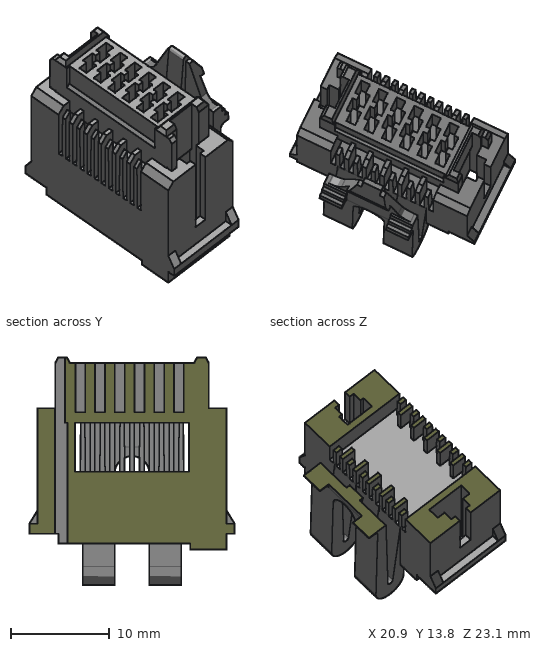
import cadquery as cq
import math


BODY_HALF_X = 9.6
BODY_HALF_Y = 4.75
BODY_BOTTOM = 0.6
BODY_TOP = 14.36
BODY_CHAMFER = 0.75

FLANGE_HALF_X = 10.425
FLANGE_BOTTOM = 1.6
FLANGE_TOP = 2.63
WEDGE_TOP = 3.97
WEDGE_WIDTH = 1.03
RELIEF_X = -7.48

FOOT_LEFT = 5.9
FOOT_BACK = 4.28

WINDOW_HALF_X = 5.77
WINDOW_BOTTOM = 7.9
PITCH = 2.0
CONTACTS = 6
TALL_RIB_WIDTH = 0.48
SHORT_RIB_TOP = 14.28
SHORT_RIB_TOP_WIDTH = 0.4
SHORT_RIB_BOTTOM_WIDTH = 0.53
SHORT_RIB_TOP_INNER = 4.07
SHORT_RIB_BOTTOM_INNER = 3.9

CHANNEL_OUTER = 8.85
CHANNEL_INNER = 6.55
CHANNEL_HALF_Y = 1.24
GUIDE_SLOT_HALF_Y = 0.72
GUIDE_SLOT_BOTTOM = 5.14

SOCKET_HALF_X = 7.8
SOCKET_HALF_Y = 3.12
SOCKET_BOTTOM = 12.86
SOCKET_TOP = 18.95
CAP_TOP = 19.5
CAP_INNER = 6.29
CAP_CHAMFER = 0.31
RECESS_INNER = 6.82
LEFT_RECESS_HALF_Y = 2.15
RIGHT_RECESS_HALF_Y = 1.63
EAR_HALF_X = 8.53
EAR_THICKNESS = 0.77
EAR_BOTTOM = 14.43
EAR_CHAMFER_X = 0.33
EAR_CHAMFER_Z = 0.51
FACE_WINDOW_HALF_X = 6.14
FACE_WINDOW_BOTTOM = 16.1
FACE_WINDOW_RISE = 0.3
FRONT_WINDOW_DEPTH = 0.42
FRONT_WINDOW_FOOT_DEPTH = 0.37
BACK_WINDOW_DEPTH = 0.3

CELL_DEPTH = 5.0
CELL_HALF_X = 0.73
CELL_NECK_X = 0.25
CELL_END_Y = 2.22
CELL_SHOULDER_Y = 1.2
NOTCH_OUTER_Y = 0.79
NOTCH_INNER_Y = 0.19

LATCH_HALF_X = 5.0
LEG_GAP_HALF_X = 1.75
ARCH_CENTRE_Z = 7.72
BEND_OUTER_Y = 8.06
BEND_RADIUS = (BEND_OUTER_Y - FOOT_BACK) / 2
BEND_CENTRE_Y = (BEND_OUTER_Y + FOOT_BACK) / 2
LATCH_BOTTOM = -3.6
BEND_CENTRE_Z = LATCH_BOTTOM + BEND_RADIUS
GAP_BOTTOM = -1.56
GAP_RADIUS = 0.33
GAP_CENTRE_Y = 6.1
GAP_CENTRE_Z = GAP_BOTTOM + GAP_RADIUS
GAP_TOP = WINDOW_BOTTOM
ARM_TOP_FRONT_Y = 6.85
ARM_BACK_Y = 7.82
ARM_BACK_Z = 9.85
HOOK_ROOT_Y = 7.6
HOOK_BOTTOM = 15.75
HOOK_EDGE_TOP = 16.43
HOOK_TIP_Y = 8.14
ARM_TOP = 17.57
ARM_TOP_BACK_Y = 7.45
ARM_TOP_HALF_X = 1.52
TONGUE_ROOT_HALF_X = 3.2
TONGUE_ROOT_Z = 13.97
SHOULDER_HALF_X = 4.6
SHOULDER_Z = 13.04
SHOULDER_MID_X = 3.76
SHOULDER_MID_Z = 13.32

GRIP_INNER_X = 2.5
GRIP_TIP_Y = 9.0
GRIP_ROOT_Y = 7.3
GRIP_BOTTOM = 10.33
GRIP_SWEEP_MID = (8.0, 10.17)
GRIP_SWEEP_END_Y = 8.4
LOWER_STEP_Z = 11.3
LOWER_STEP_OUTER_Y = 8.9
LOWER_STEP_INNER_Y = 8.5
UPPER_STEP_Z = 12.2
UPPER_STEP_OUTER_Y = 8.43
UPPER_STEP_INNER_Y = 8.06
GRIP_TOP_Y = 7.93

PAD_HALF_X = 1.03
PAD_TOP = 18.3
PAD_BOTTOM = 9.1
PAD_FOOT_Y = 6.7
PAD_TOP_BACK_Y = 7.05
PAD_PEAK_Y = 6.72
PAD_ROUND_END = (6.49, 18.0)
PAD_BOW_START = (6.06, 12.95)
PAD_BOW_END = (6.22, 10.45)


def box(x0, x1, y0, y1, z0, z1):
    return cq.Workplane("XY").box(x1 - x0, y1 - y0, z1 - z0, centered=False).translate((x0, y0, z0))


def extrude_x(profile, x0, x1):
    """Extrude a profile drawn on the YZ plane from x0 to x1."""
    return profile.extrude(x1 - x0).translate((x0, 0, 0))


def mirrored_x(shape):
    return shape.union(shape.mirror("YZ"))


def body_shell():
    section = cq.Workplane("YZ").polyline([
        (-BODY_HALF_Y, BODY_BOTTOM),
        (BODY_HALF_Y, BODY_BOTTOM),
        (BODY_HALF_Y, BODY_TOP - BODY_CHAMFER),
        (BODY_HALF_Y - BODY_CHAMFER, BODY_TOP),
        (BODY_CHAMFER - BODY_HALF_Y, BODY_TOP),
        (-BODY_HALF_Y, BODY_TOP - BODY_CHAMFER),
    ]).close()
    return extrude_x(section, -BODY_HALF_X, BODY_HALF_X)


def flange():
    shape = box(-FLANGE_HALF_X, FLANGE_HALF_X, -BODY_HALF_Y, BODY_HALF_Y, FLANGE_BOTTOM, FLANGE_TOP)
    wedge_outline = [
        (-FLANGE_HALF_X, FLANGE_TOP),
        (FLANGE_HALF_X, FLANGE_TOP),
        (BODY_HALF_X, WEDGE_TOP),
        (-BODY_HALF_X, WEDGE_TOP),
    ]
    for back_y in (BODY_HALF_Y, WEDGE_WIDTH - BODY_HALF_Y):
        wedge = cq.Workplane("XZ").polyline(wedge_outline).close().extrude(WEDGE_WIDTH)
        shape = shape.union(wedge.translate((0, back_y, 0)))
    return shape


def tall_rib(x, side):
    """Plain rib reaching from the outer wall face in to the socket block."""
    half = TALL_RIB_WIDTH / 2
    y0, y1 = sorted((side * SOCKET_HALF_Y, side * BODY_HALF_Y))
    return body_shell().intersect(box(x - half, x + half, y0, y1, WINDOW_BOTTOM, BODY_TOP))


def short_rib(x, side):
    """Rib that tapers towards the top on its flanks and inner face."""
    def section(z, width, inner):
        half = width / 2
        corners = [
            (x - half, side * inner),
            (x + half, side * inner),
            (x + half, side * BODY_HALF_Y),
            (x - half, side * BODY_HALF_Y),
        ]
        points = [cq.Vector(px, py, z) for px, py in corners]
        return cq.Wire.makePolygon(points, close=True)

    bottom = section(WINDOW_BOTTOM, SHORT_RIB_BOTTOM_WIDTH, SHORT_RIB_BOTTOM_INNER)
    top = section(SHORT_RIB_TOP, SHORT_RIB_TOP_WIDTH, SHORT_RIB_TOP_INNER)
    rib = cq.Workplane(cq.Solid.makeLoft([bottom, top], True))
    return rib.intersect(body_shell())


def row(count):
    """X positions of a centred row at the contact pitch."""
    return [(i - (count - 1) / 2) * PITCH for i in range(count)]


def end_channel(side, recess_half_y):
    """Vertical opening through one end of the body, beneath and outside the socket block."""
    outer = box(CHANNEL_INNER, CHANNEL_OUTER, -CHANNEL_HALF_Y, CHANNEL_HALF_Y, 0, BODY_TOP)
    inner = box(CHANNEL_INNER, SOCKET_HALF_X, -recess_half_y, recess_half_y, 0, BODY_TOP)
    guide_y = GUIDE_SLOT_HALF_Y
    guide = box(CHANNEL_OUTER, BODY_HALF_X, -guide_y, guide_y, GUIDE_SLOT_BOTTOM, BODY_TOP)
    opening = outer.union(inner).union(guide)
    return opening if side > 0 else opening.mirror("YZ")


def housing():
    shape = body_shell().union(flange())
    shape = shape.cut(box(-FLANGE_HALF_X, RELIEF_X, -BODY_HALF_Y, BODY_HALF_Y, BODY_BOTTOM, FLANGE_BOTTOM))
    shape = shape.union(box(FOOT_LEFT, BODY_HALF_X, -BODY_HALF_Y, FOOT_BACK, 0, FLANGE_BOTTOM))
    shape = shape.cut(end_channel(-1, LEFT_RECESS_HALF_Y))
    shape = shape.cut(end_channel(1, RIGHT_RECESS_HALF_Y))
    shape = shape.cut(box(-WINDOW_HALF_X, WINDOW_HALF_X, -BODY_HALF_Y, BODY_HALF_Y, WINDOW_BOTTOM, BODY_TOP))
    for side in (-1, 1):
        for x in row(CONTACTS - 1):
            shape = shape.union(tall_rib(x, side))
        for x in row(CONTACTS):
            shape = shape.union(short_rib(x, side))
    return shape


def end_cap():
    """Raised end of the socket block, bevelled on all four sides."""
    cap = box(CAP_INNER, SOCKET_HALF_X, -SOCKET_HALF_Y, SOCKET_HALF_Y, SOCKET_BOTTOM, CAP_TOP)
    return cap.faces(">Z").chamfer(CAP_TOP - SOCKET_TOP, CAP_CHAMFER)


def ears():
    outline = cq.Workplane("XZ").polyline([
        (-EAR_HALF_X, EAR_BOTTOM),
        (EAR_HALF_X, EAR_BOTTOM),
        (EAR_HALF_X, SOCKET_TOP - EAR_CHAMFER_Z),
        (EAR_HALF_X - EAR_CHAMFER_X, SOCKET_TOP),
        (EAR_CHAMFER_X - EAR_HALF_X, SOCKET_TOP),
        (-EAR_HALF_X, SOCKET_TOP - EAR_CHAMFER_Z),
    ]).close()
    return outline.extrude(EAR_THICKNESS).translate((0, EAR_THICKNESS - SOCKET_HALF_Y, 0))


def face_window(side, top_depth, foot_depth):
    """Shallow recess in a long face, open at the top and sloped at the bottom."""
    face_y = side * SOCKET_HALF_Y
    top_y = side * (SOCKET_HALF_Y - top_depth)
    foot_y = side * (SOCKET_HALF_Y - foot_depth)
    section = cq.Workplane("YZ").polyline([
        (face_y, FACE_WINDOW_BOTTOM),
        (foot_y, FACE_WINDOW_BOTTOM + FACE_WINDOW_RISE),
        (top_y, SOCKET_TOP),
        (face_y, SOCKET_TOP),
    ]).close()
    return extrude_x(section, -FACE_WINDOW_HALF_X, FACE_WINDOW_HALF_X)


def contact_cells():
    half_outline = [
        (-CELL_HALF_X, CELL_END_Y),
        (CELL_NECK_X, CELL_END_Y),
        (CELL_NECK_X, CELL_SHOULDER_Y),
        (CELL_HALF_X, CELL_SHOULDER_Y),
        (CELL_HALF_X, -NOTCH_INNER_Y),
        (CELL_NECK_X, -NOTCH_INNER_Y),
        (CELL_NECK_X, -NOTCH_OUTER_Y),
        (CELL_HALF_X, -NOTCH_OUTER_Y),
    ]
    outline = half_outline + [(-x, -y) for x, y in half_outline]
    centres = [(x, 0) for x in row(CONTACTS)]
    cells = cq.Workplane("XY").pushPoints(centres)
    cells = cells.eachpoint(
        lambda place: cq.Workplane("XY").polyline(outline).close().extrude(CELL_DEPTH).val().moved(place)
    )
    return cells.translate((0, 0, SOCKET_TOP - CELL_DEPTH))


def socket_block():
    shape = box(-SOCKET_HALF_X, SOCKET_HALF_X, -SOCKET_HALF_Y, SOCKET_HALF_Y, SOCKET_BOTTOM, SOCKET_TOP)
    shape = shape.union(mirrored_x(end_cap()))
    shape = shape.union(ears())
    left, right = LEFT_RECESS_HALF_Y, RIGHT_RECESS_HALF_Y
    shape = shape.cut(box(-SOCKET_HALF_X, -RECESS_INNER, -left, left, SOCKET_BOTTOM, CAP_TOP))
    shape = shape.cut(box(RECESS_INNER, SOCKET_HALF_X, -right, right, SOCKET_BOTTOM, CAP_TOP))
    shape = shape.cut(face_window(-1, FRONT_WINDOW_DEPTH, FRONT_WINDOW_FOOT_DEPTH))
    shape = shape.cut(face_window(1, BACK_WINDOW_DEPTH, BACK_WINDOW_DEPTH))
    return shape.cut(contact_cells())


def latch_arm():
    """U-bent strip rooted in the body: two legs joining into a tongue with a hook near its top."""
    leg_slope = (GAP_CENTRE_Y - GAP_RADIUS - BODY_HALF_Y) / (GAP_TOP - GAP_CENTRE_Z)
    leg_lean = math.atan(leg_slope)
    leg_foot_y = GAP_CENTRE_Y - GAP_RADIUS * math.cos(leg_lean)
    leg_foot_z = GAP_CENTRE_Z - GAP_RADIUS * math.sin(leg_lean)
    section = (
        cq.Workplane("YZ")
        .moveTo(FOOT_BACK, GAP_TOP)
        .lineTo(FOOT_BACK, BEND_CENTRE_Z)
        .threePointArc((BEND_CENTRE_Y, LATCH_BOTTOM), (BEND_OUTER_Y, BEND_CENTRE_Z))
        .lineTo(ARM_BACK_Y, ARM_BACK_Z)
        .lineTo(HOOK_ROOT_Y, HOOK_BOTTOM)
        .lineTo(HOOK_TIP_Y, HOOK_BOTTOM)
        .lineTo(HOOK_TIP_Y, HOOK_EDGE_TOP)
        .lineTo(ARM_TOP_BACK_Y, ARM_TOP)
        .lineTo(ARM_TOP_FRONT_Y, ARM_TOP)
        .lineTo(GAP_CENTRE_Y + GAP_RADIUS, GAP_CENTRE_Z)
        .threePointArc((GAP_CENTRE_Y, GAP_BOTTOM), (leg_foot_y, leg_foot_z))
        .lineTo(BODY_HALF_Y, GAP_TOP)
        .close()
    )
    arm = extrude_x(section, -LATCH_HALF_X, LATCH_HALF_X)

    outline = (
        cq.Workplane("XZ")
        .moveTo(LEG_GAP_HALF_X, LATCH_BOTTOM)
        .lineTo(LATCH_HALF_X, LATCH_BOTTOM)
        .lineTo(LATCH_HALF_X, SHOULDER_Z)
        .lineTo(SHOULDER_HALF_X, SHOULDER_Z)
        .threePointArc((SHOULDER_MID_X, SHOULDER_MID_Z), (TONGUE_ROOT_HALF_X, TONGUE_ROOT_Z))
        .lineTo(ARM_TOP_HALF_X, ARM_TOP)
        .lineTo(-ARM_TOP_HALF_X, ARM_TOP)
        .lineTo(-TONGUE_ROOT_HALF_X, TONGUE_ROOT_Z)
        .threePointArc((-SHOULDER_MID_X, SHOULDER_MID_Z), (-SHOULDER_HALF_X, SHOULDER_Z))
        .lineTo(-LATCH_HALF_X, SHOULDER_Z)
        .lineTo(-LATCH_HALF_X, LATCH_BOTTOM)
        .lineTo(-LEG_GAP_HALF_X, LATCH_BOTTOM)
        .lineTo(-LEG_GAP_HALF_X, ARCH_CENTRE_Z)
        .threePointArc((0, ARCH_CENTRE_Z + LEG_GAP_HALF_X), (LEG_GAP_HALF_X, ARCH_CENTRE_Z))
        .close()
        .extrude(-GRIP_TIP_Y)
    )
    return arm.intersect(outline)


def release_grips():
    """Stepped thumb grips, one on each side of the tongue."""
    section = (
        cq.Workplane("YZ")
        .moveTo(GRIP_ROOT_Y, ARM_BACK_Z)
        .lineTo(ARM_BACK_Y, ARM_BACK_Z)
        .threePointArc(GRIP_SWEEP_MID, (GRIP_SWEEP_END_Y, GRIP_BOTTOM))
        .lineTo(GRIP_TIP_Y, GRIP_BOTTOM)
        .lineTo(LOWER_STEP_OUTER_Y, LOWER_STEP_Z)
        .lineTo(LOWER_STEP_INNER_Y, LOWER_STEP_Z)
        .lineTo(UPPER_STEP_OUTER_Y, UPPER_STEP_Z)
        .lineTo(UPPER_STEP_INNER_Y, UPPER_STEP_Z)
        .lineTo(GRIP_TOP_Y, SHOULDER_Z)
        .lineTo(GRIP_ROOT_Y, SHOULDER_Z)
        .close()
    )
    return mirrored_x(extrude_x(section, GRIP_INNER_X, LATCH_HALF_X))


def pressing_pad():
    """Narrow bowed pad along the front of the tongue, rounded over at the top."""
    hook_slope = (ARM_TOP - HOOK_EDGE_TOP) / (HOOK_TIP_Y - ARM_TOP_BACK_Y)
    top_back_z = ARM_TOP + hook_slope * (ARM_TOP_BACK_Y - PAD_TOP_BACK_Y)
    section = (
        cq.Workplane("YZ")
        .moveTo(ARM_TOP_BACK_Y, ARM_TOP)
        .lineTo(PAD_TOP_BACK_Y, top_back_z)
        .threePointArc((PAD_PEAK_Y, PAD_TOP), PAD_ROUND_END)
        .lineTo(*PAD_BOW_START)
        .tangentArcPoint(PAD_BOW_END, relative=False)
        .lineTo(PAD_FOOT_Y, PAD_BOTTOM)
        .lineTo(ARM_TOP_BACK_Y, PAD_BOTTOM)
        .close()
    )
    arch = cq.Workplane("XZ").center(0, ARCH_CENTRE_Z).circle(LEG_GAP_HALF_X).extrude(-GRIP_TIP_Y)
    return extrude_x(section, -PAD_HALF_X, PAD_HALF_X).cut(arch)


result = housing().union(socket_block()).union(latch_arm()).union(release_grips()).union(pressing_pad())